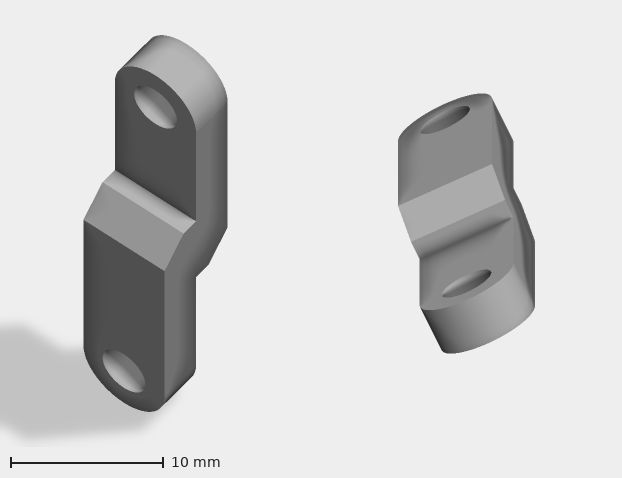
import cadquery as cq

length = 31.8
width = 6.8
arm_thickness = 3.3
overlap = 6.0
chamfer = 2.0
hole_diameter = 3.6

end_radius = width / 2
hole_height = length / 2 - end_radius
depth = 2 * arm_thickness


def side_profile():
    """Z-shaped bar outline in the YZ plane, extruded across the width."""
    half_length = length / 2
    half_overlap = overlap / 2
    points = [
        (0, half_length),
        (0, half_overlap),
        (chamfer - arm_thickness, half_overlap),
        (-arm_thickness, half_overlap - chamfer),
        (-arm_thickness, -half_length),
        (0, -half_length),
        (0, -half_overlap),
        (arm_thickness - chamfer, -half_overlap),
        (arm_thickness, chamfer - half_overlap),
        (arm_thickness, half_length),
    ]
    return cq.Workplane("YZ").polyline(points).close().extrude(end_radius, both=True)


def rounded_outline():
    """Full-depth slot shape that rounds both ends of the bar."""
    return cq.Workplane("XZ").slot2D(length, width, 90).extrude(depth, both=True)


def pivot_holes():
    """Through holes concentric with the rounded ends."""
    return (
        cq.Workplane("XZ")
        .pushPoints([(0, hole_height), (0, -hole_height)])
        .circle(hole_diameter / 2)
        .extrude(depth, both=True)
    )


result = side_profile().intersect(rounded_outline()).cut(pivot_holes())